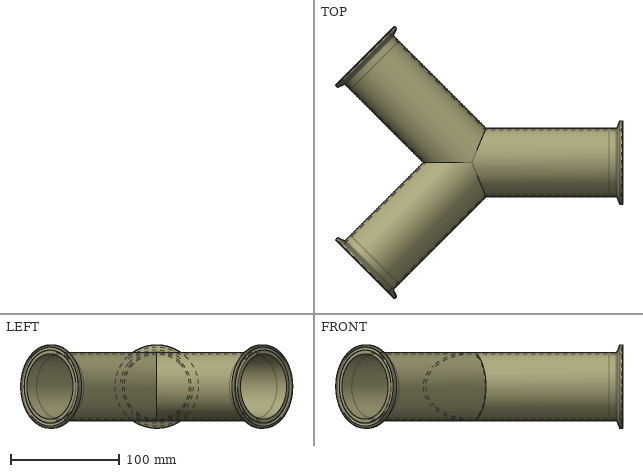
import cadquery as cq
import math

ARM_ANGLES = (0, 135, 225)
ARM_LENGTH = 139.7
PIPE_RADIUS = 63.5 / 2
BORE_RADIUS = 60.3 / 2

FERRULE_LENGTH = 12.8
FLANGE_RADIUS = 77.3 / 2
RIM_THICKNESS = 3.0
RIM_ROUNDING = 0.5
CLAMP_ANGLE = 20
NECK_FILLET = 1.0

GROOVE_INNER_RADIUS = 33.7
GROOVE_OUTER_RADIUS = 36.7
GROOVE_DEPTH = 1.0
GROOVE_LIP_ROUNDING = 0.5

flange_back = ARM_LENGTH - RIM_THICKNESS
cone_start = flange_back - (FLANGE_RADIUS - PIPE_RADIUS) * math.tan(math.radians(CLAMP_ANGLE))
weld_line = ARM_LENGTH - FERRULE_LENGTH


def rings_at(x):
    """Selector for the circular edges that lie in the plane at x."""
    reach = 0.03
    return cq.selectors.BoxSelector(
        (x - reach, -FLANGE_RADIUS, -FLANGE_RADIUS), (x + reach, FLANGE_RADIUS, FLANGE_RADIUS)
    )


def solid_ferrule():
    """Ferrule along +X with its flange and gasket groove, without the bore."""
    ferrule = (
        cq.Workplane("XY")
        .moveTo(weld_line, 0)
        .lineTo(weld_line, PIPE_RADIUS)
        .lineTo(cone_start, PIPE_RADIUS)
        .lineTo(flange_back, FLANGE_RADIUS)
        .lineTo(ARM_LENGTH, FLANGE_RADIUS)
        .lineTo(ARM_LENGTH, 0)
        .close()
        .revolve(360, (0, 0, 0), (1, 0, 0))
    )
    ferrule = ferrule.edges(rings_at(cone_start)).edges("%CIRCLE").fillet(NECK_FILLET)
    ferrule = ferrule.edges(rings_at(flange_back)).edges("%CIRCLE").fillet(RIM_ROUNDING)
    ferrule = ferrule.faces(">X").edges("%CIRCLE").fillet(RIM_ROUNDING)
    ferrule = ferrule.cut(gasket_groove())
    face_rings = ferrule.faces(">X").edges("%CIRCLE")
    groove_edges = face_rings.edges(cq.selectors.RadiusNthSelector(0)).add(
        face_rings.edges(cq.selectors.RadiusNthSelector(1))
    )
    return groove_edges.fillet(GROOVE_LIP_ROUNDING)


def solid_arm():
    """Pipe and ferrule along +X, without the bore."""
    pipe = cq.Workplane("YZ").circle(PIPE_RADIUS).extrude(weld_line)
    return pipe.union(solid_ferrule(), clean=False)


def gasket_groove():
    """Ring removed from the sealing face of the arm along +X."""
    middle_radius = (GROOVE_INNER_RADIUS + GROOVE_OUTER_RADIUS) / 2
    return (
        cq.Workplane("XY")
        .moveTo(ARM_LENGTH, GROOVE_INNER_RADIUS)
        .threePointArc((ARM_LENGTH - GROOVE_DEPTH, middle_radius), (ARM_LENGTH, GROOVE_OUTER_RADIUS))
        .close()
        .revolve(360, (0, 0, 0), (1, 0, 0))
    )


def bore():
    """Through passage from the hub to the sealing face along +X."""
    pipe_bore = cq.Workplane("YZ").circle(BORE_RADIUS).extrude(weld_line)
    ferrule_bore = cq.Workplane("YZ", origin=(weld_line, 0, 0)).circle(BORE_RADIUS).extrude(FERRULE_LENGTH)
    return pipe_bore.union(ferrule_bore, clean=False)


def three_arms(shape):
    """Join a copy of the shape in each arm direction; equal pipes meet in mitres."""
    joined = None
    for angle in ARM_ANGLES:
        turned = shape.rotate((0, 0, 0), (0, 0, 1), angle)
        joined = turned if joined is None else joined.union(turned, clean=False)
    return joined


body = three_arms(solid_arm())
result = body.cut(three_arms(bore()), clean=False)